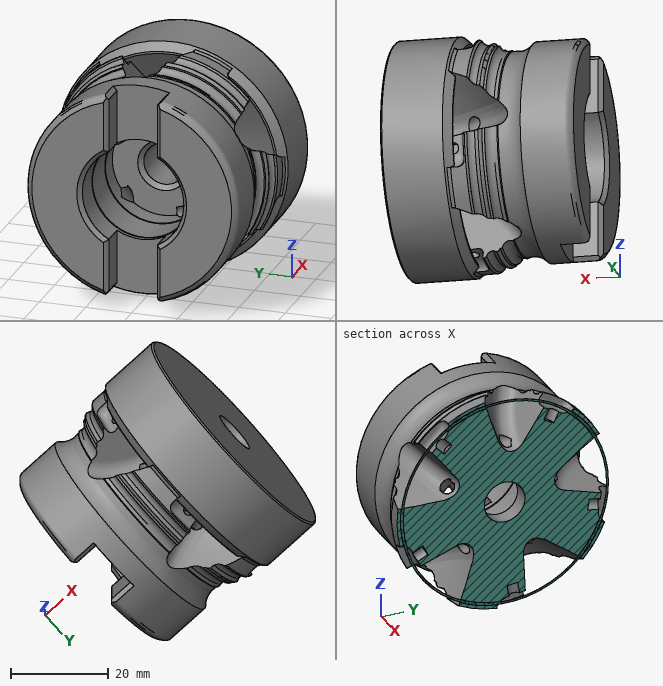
import cadquery as cq
import math


total_length = 40.05
ring_radius = 25.0
ring_front = 25.2

ring_front_chamfer = 1.7
ring_back_chamfer = 0.35
through_hole_radius = 4.5
joint_radius = 22.85
joint_slope = 31.0
joint_end = ring_front + (joint_radius - through_hole_radius) * math.tan(math.radians(joint_slope))

shank_radius = 22.95
shank_length = 10.95
edge_chamfer = 0.9
driving_face_radius = 21.65
shank_rounding_length = 1.5

neck_radius = 21.2
neck_start = 14.35
land_radius = 24.2
land_length_end = 25.75
lip_end = 26.45
tooth_count = 5
tooth_pitch = 360.0 / tooth_count

bore_radius = 11.0
bore_depth = 20.5
bore_relief = 0.15
bore_relief_start = 7.5
bore_relief_end = 16.0
hole_countersink = 1.0
slot_half_width = 5.25
slot_depth = 6.25

gullet_centre = (32.9, -21.3, 22.9)
gullet_axis = (0.177, -0.767, -0.616)
gullet_face_radius = 20.0
gullet_rim_radius = 2.7
gullet_strip_slope = 20.0
gullet_strip_length = 1.3
gullet_back_slope = 32.0
gullet_height = 18.0

seat_angle = 45.0
seat_start = 22.8
seat_end = 27.5
seat_floor_radius = 21.8
seat_floor_end = 2.7
seat_back_end = 5.65
seat_back_radius = 23.55
seat_front = -3.0
seat_length = 5.5
seat_corner_radius = 1.6
seat_floor_rounding = 1.2
seat_runout_radius = 3.5
screw_hole_radius = 1.2
screw_hole_depth = 2.5
screw_hole_x = 25.5
screw_hole_offset = 1.3

coolant_radius = 1.5
coolant_start = (19.75, -10.6, 0.25)
coolant_end = (23.5, -12.1, 5.5)


def outer_form():
    """Body outline turned around X, with the profiled teeth still a closed ring."""
    lip_radius = ring_radius - ring_front_chamfer + lip_end - ring_front
    outline = (
        cq.Workplane("XY")
        .lineTo(0, driving_face_radius)
        .lineTo(0.3, driving_face_radius + 0.45)
        .lineTo(0.8, shank_radius - 0.3)
        .threePointArc((1.1, shank_radius - 0.1), (shank_rounding_length, shank_radius))
        .lineTo(shank_length, shank_radius)
        .threePointArc((12.3, 21.85), (neck_start, neck_radius))
        .lineTo(16.0, neck_radius + 0.1)
        .lineTo(16.2, 21.5)
        .lineTo(17.0, 21.35)
        .threePointArc((18.0, 21.65), (18.6, 22.6))
        .lineTo(19.1, 22.7)
        .threePointArc((19.4, 23.1), (19.8, 23.25))
        .lineTo(20.6, 22.9)
        .threePointArc((21.5, 23.15), (22.05, 23.85))
        .lineTo(22.5, land_radius)
        .lineTo(land_length_end, land_radius)
        .lineTo(lip_end, lip_radius)
        .lineTo(ring_front, ring_radius - ring_front_chamfer)
        .lineTo(ring_front, joint_radius)
        .lineTo(joint_end, through_hole_radius)
        .lineTo(joint_end, 0)
        .close()
    )
    return outline.revolve(360, (0, 0, 0), (1, 0, 0))


def arbor_bore():
    """Stepped bore with its entry chamfer, shallow relief and countersunk through hole."""
    relief_radius = bore_radius + bore_relief
    outline = (
        cq.Workplane("XY")
        .lineTo(0, bore_radius + edge_chamfer)
        .lineTo(edge_chamfer, bore_radius)
        .lineTo(bore_relief_start, bore_radius)
        .lineTo(bore_relief_start, relief_radius)
        .lineTo(bore_relief_end, relief_radius)
        .lineTo(bore_relief_end, bore_radius)
        .lineTo(bore_depth, bore_radius)
        .lineTo(bore_depth, through_hole_radius + hole_countersink)
        .lineTo(bore_depth + hole_countersink, through_hole_radius)
        .lineTo(joint_end, through_hole_radius)
        .lineTo(joint_end, 0)
        .close()
    )
    return outline.revolve(360, (0, 0, 0), (1, 0, 0))


def driving_slot():
    """Slot along Z through the driving face, with chamfered edges at the face and at the shank."""
    half_mouth = slot_half_width + edge_chamfer
    slot = (
        cq.Workplane("XY")
        .polyline(
            [
                (0, half_mouth),
                (edge_chamfer, slot_half_width),
                (slot_depth, slot_half_width),
                (slot_depth, -slot_half_width),
                (edge_chamfer, -slot_half_width),
                (0, -half_mouth),
            ]
        )
        .close()
        .extrude(shank_radius, both=True)
    )
    edge_height = math.sqrt(shank_radius**2 - half_mouth**2)
    for side in (1, -1):
        flare = (
            cq.Workplane("YZ")
            .polyline(
                [
                    (slot_half_width, side * (edge_height - edge_chamfer)),
                    (half_mouth, side * edge_height),
                    (half_mouth, side * shank_radius),
                    (-half_mouth, side * shank_radius),
                    (-half_mouth, side * edge_height),
                    (-slot_half_width, side * (edge_height - edge_chamfer)),
                ]
            )
            .close()
            .extrude(slot_depth)
        )
        slot = slot.union(flare)
    return slot


def gullet():
    """Space in front of one tooth: turned about Z, then tilted onto the gullet axis."""
    strip_slope = math.radians(gullet_strip_slope)
    half_turn = (strip_slope - math.pi / 2) / 2
    rim_middle = (
        gullet_face_radius + gullet_rim_radius * math.cos(half_turn),
        gullet_rim_radius * (1 + math.sin(half_turn)),
    )
    rim_end = (
        gullet_face_radius + gullet_rim_radius * math.cos(strip_slope),
        gullet_rim_radius * (1 + math.sin(strip_slope)),
    )
    strip_end = (
        rim_end[0] - gullet_strip_length * math.sin(strip_slope),
        rim_end[1] + gullet_strip_length * math.cos(strip_slope),
    )
    top_radius = strip_end[0] - (gullet_height - strip_end[1]) * math.tan(math.radians(gullet_back_slope))
    disc = (
        cq.Workplane("XZ")
        .lineTo(gullet_face_radius, 0)
        .threePointArc(rim_middle, rim_end)
        .lineTo(*strip_end)
        .lineTo(top_radius, gullet_height)
        .lineTo(0, gullet_height)
        .close()
        .revolve(360, (0, 0, 0), (0, 1, 0))
    )
    tilted = cq.Plane(origin=gullet_centre, normal=gullet_axis)
    return cq.Workplane(disc.val().moved(cq.Location(tilted)))


def insert_seat():
    """Recess with a flat floor and a curved run-out, drilled for the insert screw.

    Drawn with the seat on the +Z side, its length along Y, then turned to its place on the tooth.
    """
    top = ring_radius + 0.5
    seat = (
        cq.Workplane("YZ", origin=(seat_start, 0, 0))
        .moveTo(seat_front, seat_floor_radius)
        .lineTo(seat_floor_end, seat_floor_radius)
        .radiusArc((seat_back_end, seat_back_radius), -seat_runout_radius)
        .lineTo(seat_back_end, top)
        .lineTo(seat_front, top)
        .close()
        .extrude(seat_end - seat_start)
    )
    seat = seat.intersect(
        cq.Workplane("XY")
        .box(seat_end - seat_start, 2 * seat_length, top, centered=(False, True, False))
        .edges("|Z and <X and >Y")
        .fillet(seat_corner_radius)
        .translate((seat_start, 0, 0))
    )
    seat = seat.edges("|Y and <X and <Z").fillet(seat_floor_rounding)
    screw_hole = (
        cq.Workplane("XY", origin=(screw_hole_x, screw_hole_offset, seat_floor_radius - screw_hole_depth))
        .circle(screw_hole_radius)
        .extrude(screw_hole_depth)
    )
    return seat.union(screw_hole).rotate((0, 0, 0), (1, 0, 0), 90 - seat_angle)


def coolant_hole():
    """Round hole between two points on its axis."""
    start = cq.Vector(*coolant_start)
    path = cq.Vector(*coolant_end) - start
    return cq.Workplane(cq.Solid.makeCylinder(coolant_radius, path.Length, start, path))


def make_body():
    body = outer_form().cut(arbor_bore()).cut(driving_slot())
    for tool in (gullet(), insert_seat(), coolant_hole()):
        for tooth in range(tooth_count):
            body = body.cut(tool.rotate((0, 0, 0), (1, 0, 0), tooth * tooth_pitch))
    return body.solids()


def make_ring():
    outline = (
        cq.Workplane("XY")
        .moveTo(joint_end, through_hole_radius)
        .lineTo(ring_front, joint_radius)
        .lineTo(ring_front, ring_radius - ring_front_chamfer)
        .lineTo(ring_front + ring_front_chamfer, ring_radius)
        .lineTo(total_length - ring_back_chamfer, ring_radius)
        .lineTo(total_length, ring_radius - ring_back_chamfer)
        .lineTo(total_length, through_hole_radius)
        .close()
    )
    return outline.revolve(360, (0, 0, 0), (1, 0, 0))


body = make_body()
ring = make_ring()
result = cq.Compound.makeCompound([body.val(), ring.val()])